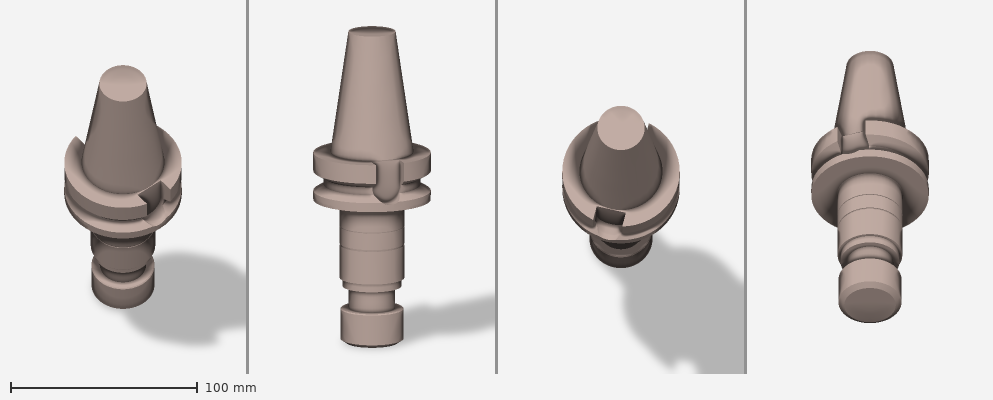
import cadquery as cq
import math

TOTAL_HEIGHT = 170.6
TAPER_BASE_Z = 104.7
FLANGE_TOP_Z = 104.2
FLANGE_BOTTOM_Z = 78.5
BODY_BOTTOM_Z = 35.5
COLLAR_BOTTOM_Z = 30.9
NUT_TOP_Z = 19.0

TAPER_BASE_DIAMETER = 44.5
TAPER_RATIO = 7 / 24
RELIEF_DIAMETER = 44.0
FLANGE_DIAMETER = 63.0
V_GROOVE_DIAMETER = 51.9
BODY_DIAMETER = 34.6
COLLAR_DIAMETER = 31.5
NECK_DIAMETER = 24.9
NUT_DIAMETER = 33.8

V_GROOVE_MIDDLE_Z = 88.7
V_GROOVE_FLOOR_WIDTH = 4.3
V_GROOVE_WALL_ANGLE = math.radians(30)

RING_DIAMETER = 33.8
UPPER_RING_Z = 63.8
UPPER_RING_WIDTH = 0.5
LOWER_RING_Z = 53.9
LOWER_RING_WIDTH = 1.0

BODY_ROOT_CHAMFER = 0.5
NUT_TOP_CHAMFER = 0.5
NUT_FACE_CHAMFER_HEIGHT = 2.0
NUT_FACE_CHAMFER_DEPTH = 3.0

SLOT_WIDTH = 16.0
SLOT_BOTTOM_Z = 82.0
SLOT_FLOOR_SPACING = 44.7


def disc(diameter, bottom, top):
    return cq.Workplane("XY").workplane(offset=bottom).circle(diameter / 2).extrude(top - bottom)


def revolve_profile(points):
    """Revolve a closed outline of (radius, height) points about Z."""
    return cq.Workplane("XZ").polyline(points).close().revolve(360, (0, 0), (0, 1))


def make_taper():
    base_radius = TAPER_BASE_DIAMETER / 2
    tip_radius = base_radius - TAPER_RATIO * (TOTAL_HEIGHT - TAPER_BASE_Z) / 2
    cone = revolve_profile([
        (0, TAPER_BASE_Z),
        (base_radius, TAPER_BASE_Z),
        (tip_radius, TOTAL_HEIGHT),
        (0, TOTAL_HEIGHT),
    ])
    return cone.union(disc(RELIEF_DIAMETER, FLANGE_TOP_Z, TAPER_BASE_Z))


def make_v_groove():
    floor_radius = V_GROOVE_DIAMETER / 2
    rim_radius = FLANGE_DIAMETER / 2
    floor_half = V_GROOVE_FLOOR_WIDTH / 2
    mouth_half = floor_half + (rim_radius - floor_radius) * math.tan(V_GROOVE_WALL_ANGLE)
    return revolve_profile([
        (floor_radius, V_GROOVE_MIDDLE_Z - floor_half),
        (rim_radius, V_GROOVE_MIDDLE_Z - mouth_half),
        (rim_radius, V_GROOVE_MIDDLE_Z + mouth_half),
        (floor_radius, V_GROOVE_MIDDLE_Z + floor_half),
    ])


def make_drive_slot(side):
    """Round-bottomed slot, open at the flange top; side is +1 or -1 along X."""
    half_width = SLOT_WIDTH / 2
    arc_centre_z = SLOT_BOTTOM_Z + half_width
    return (
        cq.Workplane("YZ")
        .workplane(offset=side * SLOT_FLOOR_SPACING / 2)
        .moveTo(-half_width, FLANGE_TOP_Z)
        .lineTo(-half_width, arc_centre_z)
        .threePointArc((0, SLOT_BOTTOM_Z), (half_width, arc_centre_z))
        .lineTo(half_width, FLANGE_TOP_Z)
        .close()
        .extrude(side * FLANGE_DIAMETER / 2)
    )


def make_flange():
    flange = disc(FLANGE_DIAMETER, FLANGE_BOTTOM_Z, FLANGE_TOP_Z).cut(make_v_groove())
    for side in (-1, 1):
        flange = flange.cut(make_drive_slot(side))
    return flange


def make_body():
    body = disc(BODY_DIAMETER, BODY_BOTTOM_Z, FLANGE_BOTTOM_Z)
    for middle, width in ((UPPER_RING_Z, UPPER_RING_WIDTH), (LOWER_RING_Z, LOWER_RING_WIDTH)):
        bottom = middle - width / 2
        top = middle + width / 2
        ring = disc(BODY_DIAMETER, bottom, top).cut(disc(RING_DIAMETER, bottom, top))
        body = body.cut(ring)
    radius = BODY_DIAMETER / 2
    root = revolve_profile([
        (0, FLANGE_BOTTOM_Z - BODY_ROOT_CHAMFER),
        (radius, FLANGE_BOTTOM_Z - BODY_ROOT_CHAMFER),
        (radius + BODY_ROOT_CHAMFER, FLANGE_BOTTOM_Z),
        (0, FLANGE_BOTTOM_Z),
    ])
    return body.union(root)


def make_nut():
    radius = NUT_DIAMETER / 2
    return revolve_profile([
        (0, 0),
        (radius - NUT_FACE_CHAMFER_DEPTH, 0),
        (radius, NUT_FACE_CHAMFER_HEIGHT),
        (radius, NUT_TOP_Z - NUT_TOP_CHAMFER),
        (radius - NUT_TOP_CHAMFER, NUT_TOP_Z),
        (0, NUT_TOP_Z),
    ])


collar = disc(COLLAR_DIAMETER, COLLAR_BOTTOM_Z, BODY_BOTTOM_Z)
neck = disc(NECK_DIAMETER, NUT_TOP_Z, COLLAR_BOTTOM_Z)

result = make_flange()
for section in (make_taper(), make_body(), collar, neck, make_nut()):
    result = result.union(section)